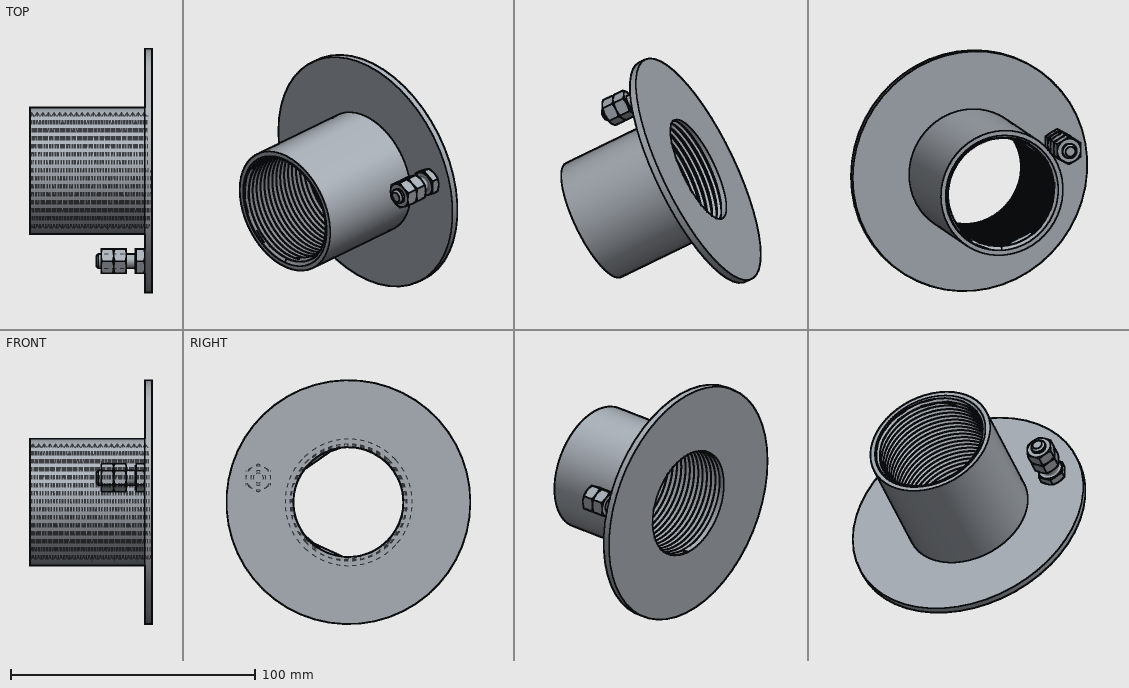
import cadquery as cq
import math

total_length = 50.0
flange_diameter = 100.0
flange_thickness = 2.9
sleeve_diameter = 52.0
flange_face = total_length - flange_thickness

bore_diameter = 44.9
root_diameter = 47.9
thread_pitch = 2.3
cutter_gap = 0.2
mouth_diameter = 48.0
lead_in_depth = 0.8
cutter_overlap = 0.05
thread_turns = 21
thread_start = 0.0

bolt_y = -37.0
bolt_z = 10.0
bolt_diameter = 6.0
bolt_length = 16.0
tip_chamfer = 0.95
hex_width = 10.0
head_height = 4.0
washer_face_height = 0.5
neck_fillet = 0.3
chamfer_angle = 30.0
bolt_tip = flange_face - head_height - bolt_length

nut_height = 5.2
nut_count = 2
tip_exposed = 2.0
first_nut_start = bolt_tip + tip_exposed


def cylinder(diameter, start, length, y=0.0, z=0.0):
    """Cylinder along +X from the given start."""
    return cq.Workplane("YZ", origin=(start, y, z)).circle(diameter / 2).extrude(length)


def hexagon(start, length, chamfer_start, chamfer_end):
    """Hexagonal prism on the bolt axis, corners up and down, with optional conical end chamfers."""
    half_sector = 30
    corner_radius = hex_width / 2 / math.cos(math.radians(half_sector))
    run = corner_radius - hex_width / 2
    corner_drop = run * math.tan(math.radians(chamfer_angle))
    prism = (
        cq.Workplane("YZ", origin=(start, bolt_y, bolt_z))
        .polygon(6, 2 * corner_radius)
        .extrude(length)
        .rotate((0, bolt_y, bolt_z), (1, bolt_y, bolt_z), half_sector)
    )
    envelope = cylinder(2 * corner_radius, start, length, bolt_y, bolt_z)
    if chamfer_start:
        envelope = envelope.faces("<X").chamfer(corner_drop, run)
    if chamfer_end:
        envelope = envelope.faces(">X").chamfer(corner_drop, run)
    return prism.intersect(envelope)


def make_thread_cutter():
    """V-shaped helical ridge along X that cuts the thread into the bore."""
    inner_radius = bore_diameter / 2 - cutter_overlap
    half_width = (thread_pitch - cutter_gap) / 2
    helix = cq.Wire.makeHelix(thread_pitch, thread_turns * thread_pitch, inner_radius)
    ridge = (
        cq.Workplane("XZ")
        .moveTo(inner_radius, -half_width)
        .lineTo(root_diameter / 2, 0)
        .lineTo(inner_radius, half_width)
        .close()
        .sweep(cq.Workplane(helix), isFrenet=True)
    )
    return ridge.rotate((0, 0, 0), (0, 1, 0), 90).translate((thread_start, 0, 0))


def make_flanged_sleeve():
    sleeve = cylinder(sleeve_diameter, 0, total_length)
    flange = cylinder(flange_diameter, flange_face, flange_thickness)
    blank = sleeve.union(flange)
    bored = blank.cut(cylinder(bore_diameter, 0, total_length))
    lead_in = (
        cq.Workplane("XY")
        .polyline([(0, 0), (0, mouth_diameter / 2), (lead_in_depth, bore_diameter / 2), (lead_in_depth, 0)])
        .close()
        .revolve(360, (0, 0, 0), (1, 0, 0))
    )
    return bored.cut(lead_in).cut(make_thread_cutter())


def make_bolt():
    shank = cylinder(bolt_diameter, bolt_tip, bolt_length, bolt_y, bolt_z).faces("<X").chamfer(tip_chamfer)
    head_start = bolt_tip + bolt_length
    washer_face = cylinder(hex_width, head_start, washer_face_height, bolt_y, bolt_z)
    hex_start = head_start + washer_face_height
    head = hexagon(hex_start, head_height - washer_face_height, False, True)
    bolt_blank = shank.union(washer_face).union(head)
    neck = cq.selectors.BoxSelector(
        (head_start - neck_fillet, bolt_y - bolt_diameter, bolt_z - bolt_diameter),
        (head_start + neck_fillet, bolt_y + bolt_diameter, bolt_z + bolt_diameter),
    )
    return bolt_blank.edges(neck).edges(cq.selectors.RadiusNthSelector(0)).fillet(neck_fillet)


def make_nut(start):
    blank = hexagon(start, nut_height, True, True)
    return blank.cut(cylinder(bolt_diameter, start, nut_height, bolt_y, bolt_z))


flanged_sleeve = make_flanged_sleeve()
bolt = make_bolt()
nuts = [make_nut(first_nut_start + i * nut_height) for i in range(nut_count)]

result = cq.Compound.makeCompound([flanged_sleeve.val(), bolt.val(), *[nut.val() for nut in nuts]])